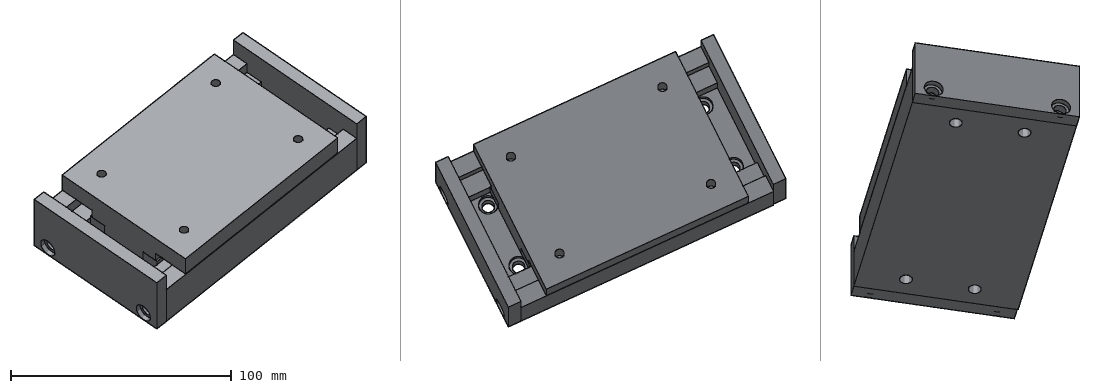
import cadquery as cq

STAGE_WIDTH = 76.1
STAGE_LENGTH = 139.7
STAGE_HEIGHT = 31.7

SCREW_HOLE_DIAMETER = 5.7
COUNTERBORE_DIAMETER = 8.7
COUNTERBORE_DEPTH = 2.5

BASE_LENGTH = 127.0
BASE_HEIGHT = 21.2
WALL_THICKNESS = 8.4
FLOOR_HEIGHT = 7.7
BASE_HOLE_SPACING_X = 31.9
BASE_HOLE_SPACING_Y = 108.1
CHANNEL_WIDTH = STAGE_WIDTH - 2 * WALL_THICKNESS

PLATE_THICKNESS = (STAGE_LENGTH - BASE_LENGTH) / 2
PLATE_HEIGHT = 30.9
FRONT_PLATE_SETBACK = 0.4
PLATE_HOLE_SPACING = 59.0
PLATE_HOLE_HEIGHT = 4.6

RAIL_WIDTH = 8.8
RAIL_GAP = 0.3
FIXED_RAIL_TOP = 15.5
MOVING_RAIL_TOP = 17.0
RAIL_HEIGHT = FIXED_RAIL_TOP - FLOOR_HEIGHT
MOVING_RAIL_BOTTOM = MOVING_RAIL_TOP - RAIL_HEIGHT
FIXED_RAIL_X = (CHANNEL_WIDTH - RAIL_WIDTH) / 2
MOVING_RAIL_X = FIXED_RAIL_X - RAIL_WIDTH - RAIL_GAP

CARRIAGE_LENGTH = 101.5
CARRIAGE_UNDERSIDE = 21.7
BLOCK_WIDTH = 39.4
TONGUE_WIDTH = 2 * MOVING_RAIL_X - RAIL_WIDTH
CARRIAGE_HOLE_DIAMETER = 4.2
CARRIAGE_HOLE_SPACING_X = 50.9
CARRIAGE_HOLE_SPACING_Y = 76.1


def make_box(width, length, bottom, top):
    """Box centred on the Z axis, reaching from one height to another."""
    return cq.Workplane("XY").workplane(offset=bottom).rect(width, length).extrude(top - bottom)


def make_base():
    channel = make_box(CHANNEL_WIDTH, BASE_LENGTH, FLOOR_HEIGHT, BASE_HEIGHT)
    body = make_box(STAGE_WIDTH, BASE_LENGTH, 0, BASE_HEIGHT).cut(channel)
    floor = cq.Workplane("XY", origin=(0, 0, FLOOR_HEIGHT))
    return (
        body.copyWorkplane(floor)
        .rarray(BASE_HOLE_SPACING_X, BASE_HOLE_SPACING_Y, 2, 2)
        .cboreHole(SCREW_HOLE_DIAMETER, COUNTERBORE_DIAMETER, COUNTERBORE_DEPTH)
    )


def make_carriage():
    top_plate = make_box(STAGE_WIDTH, CARRIAGE_LENGTH, CARRIAGE_UNDERSIDE, STAGE_HEIGHT)
    block = make_box(BLOCK_WIDTH, CARRIAGE_LENGTH, MOVING_RAIL_TOP, CARRIAGE_UNDERSIDE)
    tongue = make_box(TONGUE_WIDTH, CARRIAGE_LENGTH, MOVING_RAIL_BOTTOM, MOVING_RAIL_TOP)
    top_face = cq.Workplane("XY", origin=(0, 0, STAGE_HEIGHT))
    return (
        top_plate.union(block)
        .union(tongue)
        .copyWorkplane(top_face)
        .rarray(CARRIAGE_HOLE_SPACING_X, CARRIAGE_HOLE_SPACING_Y, 2, 2)
        .hole(CARRIAGE_HOLE_DIAMETER, STAGE_HEIGHT - CARRIAGE_UNDERSIDE)
    )


def make_fixed_rail(side):
    """Rail on the base floor, against the wall at -X (side -1) or +X (side 1)."""
    rail = make_box(RAIL_WIDTH, BASE_LENGTH, FLOOR_HEIGHT, FIXED_RAIL_TOP)
    return rail.translate((side * FIXED_RAIL_X, 0, 0))


def make_moving_rail(side):
    """Rail under the carriage block, at the -X (side -1) or +X (side 1) side of the tongue."""
    rail = make_box(RAIL_WIDTH, CARRIAGE_LENGTH, MOVING_RAIL_BOTTOM, MOVING_RAIL_TOP)
    return rail.translate((side * MOVING_RAIL_X, 0, 0))


def make_end_plate(setback):
    """End plate at -Y, with its -X edge moved in by the setback and its holes centred on it."""
    center_x = setback / 2
    center_y = -(STAGE_LENGTH - PLATE_THICKNESS) / 2
    plate = make_box(STAGE_WIDTH - setback, PLATE_THICKNESS, 0, PLATE_HEIGHT)
    outer_face = cq.Workplane("XZ", origin=(center_x, -STAGE_LENGTH / 2, PLATE_HOLE_HEIGHT))
    return (
        plate.translate((center_x, center_y, 0))
        .copyWorkplane(outer_face)
        .rarray(PLATE_HOLE_SPACING, 1.4, 2, 1)
        .cboreHole(SCREW_HOLE_DIAMETER, COUNTERBORE_DIAMETER, COUNTERBORE_DEPTH)
    )


SIDES = (-1, 1)

base = make_base()
carriage = make_carriage()
fixed_rails = [make_fixed_rail(side) for side in SIDES]
moving_rails = [make_moving_rail(side) for side in SIDES]
front_plate = make_end_plate(FRONT_PLATE_SETBACK)
back_plate = make_end_plate(0).mirror("XZ")

result = cq.Compound.makeCompound(
    [
        base.val(),
        carriage.val(),
        *[rail.val() for rail in fixed_rails],
        *[rail.val() for rail in moving_rails],
        front_plate.val(),
        back_plate.val(),
    ]
)